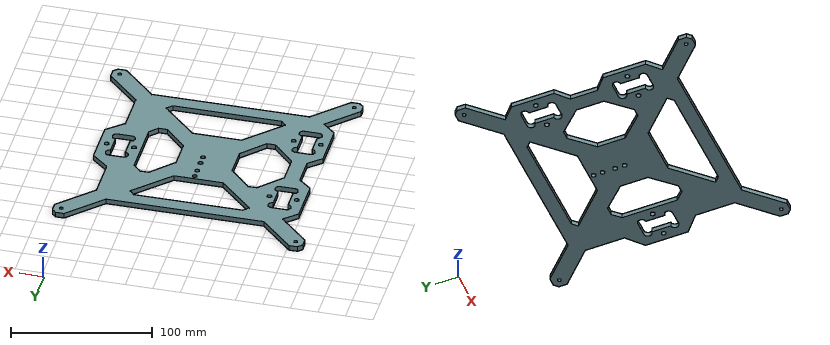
import cadquery as cq

size = 182
thickness = 4.0
half = size / 2

arm_offset = 9.3
tip_chamfer = 3.1
tip_hole_place = 85.2
tip_hole_diameter = 2.5

frame_half = 66.6
waist_x = -69.5

pad_edge_x = 79.0
pad_center_x = 63.5
pad_center_y = 35.1
pad_half_width = 16.4
pad_slope = 0.88

window_length = 26.5
window_stem_width = 10.7
lobe_width = 16.5
lobe_height = 6.0
screw_hole_spacing = 19.8
screw_hole_diameter = 3.3

belt_hole_x = 3.5
belt_hole_ys = [0, 7.3, 17.0, 23.8]

hub_half_y = 27.1
trapezoid_outer_y = 56.5
trapezoid_tip_y = 52.6
side_inner_x = 20.4
side_outer_x = 58.2
side_crest_half = 3.18
side_half_straight = 10.5
side_cut_x = 48.2


def mirror_in_x_axis(upper):
    """Complete an outline from its +Y half, listed in order."""
    return upper + [(x, -y) for x, y in reversed(upper)]


def extrude_outline(points):
    return cq.Workplane("XY").polyline(points).close().extrude(thickness)


def frame_plate():
    pad_top_y = pad_center_y + pad_half_width
    pad_bottom_y = pad_center_y - pad_half_width
    flank_rise_left = pad_slope * (pad_edge_x + waist_x)
    flank_rise_right = pad_slope * (pad_edge_x - frame_half)
    arm_end = half - arm_offset
    tip_end = half - tip_chamfer
    arm_root = frame_half - arm_offset
    upper = [
        (waist_x, pad_bottom_y - flank_rise_left),
        (-pad_edge_x, pad_bottom_y),
        (-pad_edge_x, pad_top_y),
        (waist_x, -waist_x - arm_offset),
        (-half, arm_end),
        (-half, tip_end),
        (-tip_end, half),
        (-arm_end, half),
        (-arm_root, frame_half),
        (arm_root, frame_half),
        (arm_end, half),
        (tip_end, half),
        (half, tip_end),
        (half, arm_end),
        (frame_half, arm_root),
        (frame_half, pad_half_width + flank_rise_right),
        (pad_edge_x, pad_half_width),
    ]
    return extrude_outline(mirror_in_x_axis(upper))


def trapezoid_opening():
    """Opening on the +Y side, with its slanted sides along the arms."""
    tip_x = trapezoid_tip_y - arm_offset
    outer_x = tip_x - (trapezoid_outer_y - trapezoid_tip_y)
    inner_x = hub_half_y - arm_offset
    right = [(inner_x, hub_half_y), (tip_x, trapezoid_tip_y), (outer_x, trapezoid_outer_y)]
    left = [(-x, y) for x, y in reversed(right)]
    return extrude_outline(right + left)


def side_opening():
    """Eight-sided opening on the +X side."""
    crest_x = (side_inner_x + side_outer_x) / 2
    upper = [
        (side_inner_x, side_half_straight),
        (crest_x - side_crest_half, hub_half_y),
        (crest_x + side_crest_half, hub_half_y),
        (side_outer_x, side_half_straight),
    ]
    return extrude_outline(mirror_in_x_axis(upper))


def bearing_cutout(x, y):
    """I-shaped window and its two screw holes, centred on (x, y)."""
    lobe_y = (window_length - lobe_height) / 2
    plane = cq.Workplane("XY").center(x, y)
    stem = plane.rect(window_stem_width, 2 * lobe_y).extrude(thickness)
    lobes = plane.pushPoints([(0, lobe_y), (0, -lobe_y)]).slot2D(lobe_width, lobe_height).extrude(thickness)
    screw_x = screw_hole_spacing / 2
    screws = plane.pushPoints([(-screw_x, 0), (screw_x, 0)]).circle(screw_hole_diameter / 2).extrude(thickness)
    return stem.union(lobes).union(screws)


def round_holes(places, diameter):
    return cq.Workplane("XY").pushPoints(places).circle(diameter / 2).extrude(thickness)


result = frame_plate()

back_opening = trapezoid_opening()
result = result.cut(back_opening).cut(back_opening.mirror("XZ"))

right_opening = side_opening()
right_limit = cq.Workplane("XY").box(2 * side_cut_x, size, 2 * thickness)
result = result.cut(right_opening.mirror("YZ")).cut(right_opening.intersect(right_limit))

pad_centers = [(-pad_center_x, pad_center_y), (-pad_center_x, -pad_center_y), (pad_center_x, 0)]
for pad_x, pad_y in pad_centers:
    result = result.cut(bearing_cutout(pad_x, pad_y))

tip_places = [(sx * tip_hole_place, sy * tip_hole_place) for sx in (-1, 1) for sy in (-1, 1)]
result = result.cut(round_holes(tip_places, tip_hole_diameter))
belt_places = [(belt_hole_x, y) for y in belt_hole_ys]
result = result.cut(round_holes(belt_places, screw_hole_diameter))